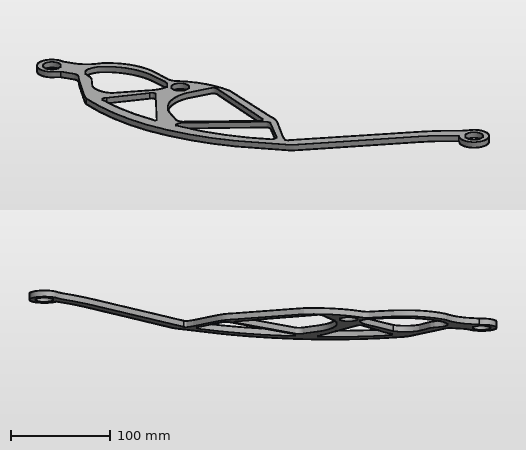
import cadquery as cq

length = 490.0
thickness = 6.5
eye_diameter = 30.5
bore_diameter = 18.0
middle_bore_x = 139.5
right_eye_x = length - eye_diameter


def plate(path):
    """Turn a closed XY sketch into a plate of the full thickness."""
    return path.close().extrude(thickness)


def discs(centres_x, diameter):
    """Round plates with their centres on the X axis."""
    centres = [(x, 0) for x in centres_x]
    return cq.Workplane("XY").pushPoints(centres).circle(diameter / 2).extrude(thickness)


def frame_outline():
    """Outer edge of the frame and its arm, clockwise from the left eye."""
    return plate(
        cq.Workplane("XY")
        .moveTo(0, 13.5)
        .lineTo(20.5, 13.5)
        .threePointArc((33.0, 17.0), (44.5, 25.0))
        .threePointArc((74.0, 32.0), (99.0, 26.0))
        .lineTo(122.0, 12.5)
        .threePointArc((126.5, 12.0), (131.5, 12.5))
        .threePointArc((156.5, 16.5), (189.5, 10.5))
        .lineTo(250.5, -32.5)
        .threePointArc((258.0, -37.5), (264.0, -45.0))
        .lineTo(281.5, -74.5)
        .lineTo(286.0, -80.0)
        .threePointArc((287.5, -81.0), (289.5, -80.0))
        .lineTo(406.5, -10.0)
        .threePointArc((424.5, -0.5), (443.0, 7.5))
        .lineTo(450.0, 11.5)
        .lineTo(right_eye_x, 0)
        .lineTo(444.0, -6.0)
        .threePointArc((425.5, -13.0), (409.5, -21.5))
        .lineTo(299.0, -88.5)
        .lineTo(295.0, -90.0)
        .lineTo(241.0, -101.5)
        .threePointArc((192.0, -104.5), (143.0, -98.5))
        .threePointArc((101.5, -84.5), (62.0, -61.5))
        .lineTo(59.0, -57.5)
        .lineTo(40.0, -25.0)
        .lineTo(35.5, -15.5)
        .threePointArc((32.5, -12.0), (28.0, -10.5))
        .lineTo(13.5, -10.5)
        .lineTo(4.5, -14.0)
        .lineTo(0, 0)
    )


def left_window():
    """Large rounded opening between the left eye and the middle bore."""
    return plate(
        cq.Workplane("XY")
        .moveTo(37.0, 5.5)
        .threePointArc((42.5, 13.0), (51.0, 18.0))
        .threePointArc((73.5, 22.5), (99.0, 17.5))
        .lineTo(118.5, 7.5)
        .threePointArc((124.5, 2.5), (127.0, -4.0))
        .threePointArc((123.0, -11.5), (117.5, -16.5))
        .lineTo(81.5, -39.0)
        .threePointArc((67.0, -38.5), (57.0, -31.5))
        .lineTo(49.5, -15.0)
        .lineTo(46.0, -11.5)
        .lineTo(40.5, -7.5)
        .threePointArc((36.7, -1.0), (37.0, 5.5))
    )


def triangular_window():
    """Small three-cornered opening above the belly."""
    return plate(
        cq.Workplane("XY")
        .moveTo(81.0, -52.5)
        .lineTo(116.5, -25.5)
        .threePointArc((120.5, -23.5), (123.5, -26.0))
        .lineTo(148.0, -83.5)
        .threePointArc((147.5, -85.0), (144.5, -85.0))
        .threePointArc((108.5, -73.5), (81.0, -60.0))
        .threePointArc((78.0, -56.5), (81.0, -52.5))
    )


def upper_right_window():
    """Opening bounded by the curved web, the outer edge and the thin strut."""
    return plate(
        cq.Workplane("XY")
        .moveTo(169.0, 9.0)
        .threePointArc((173.5, 11.0), (177.5, 9.0))
        .lineTo(245.0, -40.5)
        .threePointArc((247.0, -43.5), (245.0, -46.5))
        .lineTo(175.5, -77.0)
        .threePointArc((169.5, -78.0), (164.5, -74.5))
        .lineTo(154.5, -63.0)
        .threePointArc((143.5, -35.0), (151.5, -11.0))
    )


def lower_right_window():
    """Narrow opening between the thin strut and the belly."""
    return plate(
        cq.Workplane("XY")
        .moveTo(251.5, -47.0)
        .threePointArc((255.0, -46.5), (257.5, -48.5))
        .lineTo(274.5, -75.0)
        .threePointArc((276.0, -81.0), (272.5, -84.5))
        .threePointArc((232.5, -91.0), (178.5, -90.0))
        .lineTo(170.5, -88.5)
        .threePointArc((171.5, -84.0), (175.5, -80.5))
    )


frame = frame_outline().union(discs([0, right_eye_x], eye_diameter))
for window in (left_window(), triangular_window(), upper_right_window(), lower_right_window()):
    frame = frame.cut(window)

result = frame.cut(discs([0, middle_bore_x, right_eye_x], bore_diameter))